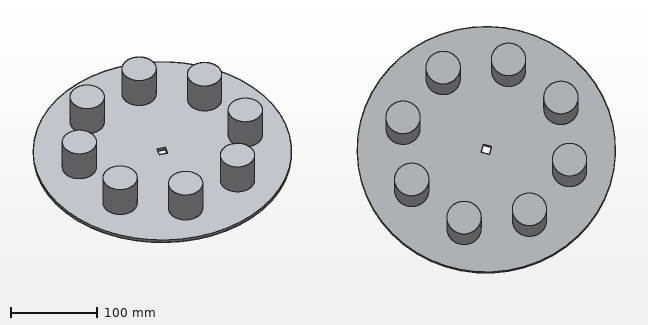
import cadquery as cq

disc_diameter = 300.0
total_height = 44.0
post_height = 40.0
post_diameter = 40.0
post_count = 8
post_circle_radius = disc_diameter / 3
square_hole_side = 10.0

disc_thickness = total_height - post_height


def make_disc():
    """Flat round plate with its underside at Z = 0 and a square drive hole through its centre."""
    disc = cq.Workplane("XY").circle(disc_diameter / 2).extrude(disc_thickness)
    hole = cq.Workplane("XY").rect(square_hole_side, square_hole_side).extrude(disc_thickness)
    return disc.cut(hole)


def add_posts(disc):
    """Ring of equally spaced cylindrical posts standing on the plate, the first one on +X."""
    return (
        disc.faces(">Z")
        .workplane(origin=(0, 0, disc_thickness))
        .polarArray(post_circle_radius, 0, 360, post_count)
        .circle(post_diameter / 2)
        .extrude(post_height)
    )


result = add_posts(make_disc())